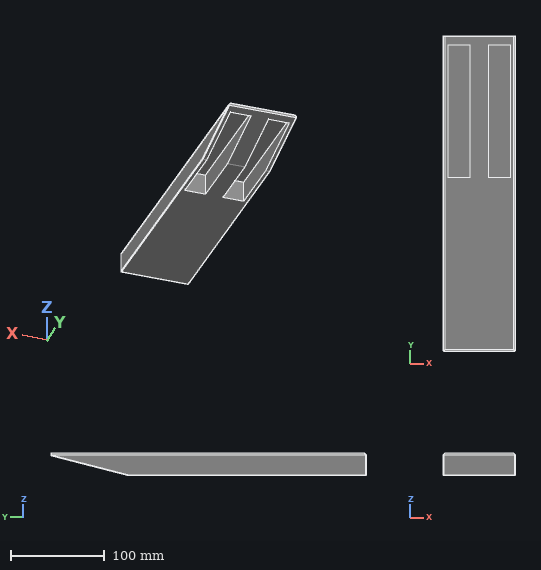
import cadquery as cq

width = 77.0
length = 335.7
height = 24.2

tip_thickness = 3.0
taper_length = 82.2

top_chamfer = 2.0
edge_chamfer = 0.7

pocket_width = 23.5
pocket_side_wall = 5.0
pocket_tip_wall = 9.5
pocket_length = 141.0
pocket_skin = 0.7

front_y = -length / 2
tip_y = length / 2


def make_body():
    """Wedge-ended bar with bevelled edges."""
    bar = (
        cq.Workplane("YZ")
        .moveTo(front_y, 0)
        .lineTo(tip_y - taper_length, 0)
        .lineTo(tip_y, height - tip_thickness)
        .lineTo(tip_y, height)
        .lineTo(front_y, height)
        .close()
        .extrude(width / 2, both=True)
    )
    bar = bar.faces(">Z").edges("|Y or <Y").chamfer(top_chamfer)
    bottom_edges = bar.faces("<Z").edges("|Y or <Y")
    front_uprights = bar.faces("<Y").edges("|Z")
    slope_sides = bar.edges("not(|X or |Y or |Z)").edges("<Z")
    return bottom_edges.add(front_uprights).add(slope_sides).chamfer(edge_chamfer)


def make_pockets():
    """Mirrored pair of pocket cutters, from the underside up to the skin."""
    centre_x = (width - pocket_width) / 2 - pocket_side_wall
    centre_y = tip_y - pocket_tip_wall - pocket_length / 2
    return (
        cq.Workplane("XY")
        .pushPoints([(-centre_x, centre_y), (centre_x, centre_y)])
        .rect(pocket_width, pocket_length)
        .extrude(height - pocket_skin)
    )


result = make_body().cut(make_pockets())